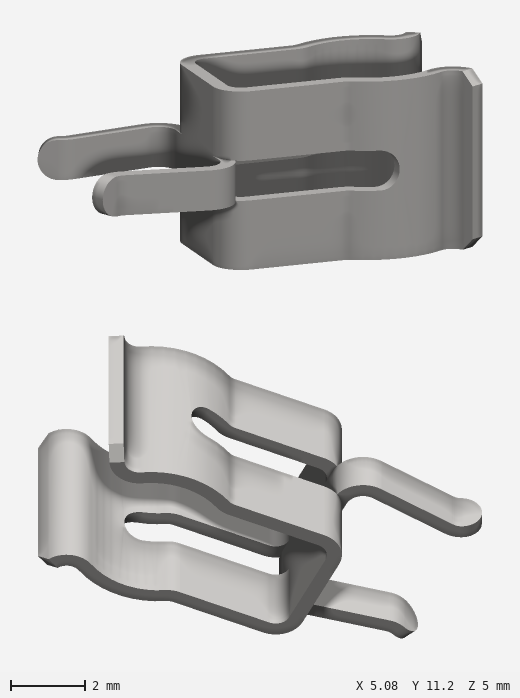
import cadquery as cq
import math


thickness = 0.4
clip_height = 5.0
tab_width = 1.12
bend_inner = 0.4
bend_radius = bend_inner + thickness / 2

arm_outer_half = 1.97
corner_start = arm_outer_half - bend_inner - thickness
arm_straight = 2.67
flare_angle = 29.5
grip_inner = 2.19
grip_radius = grip_inner + thickness / 2
throat_angle = 31.0
lip_angle = 62.0
lip_length = 0.36

slot_end = 4.95

leg_span = 5.08
leg_bend_inner = 0.49
leg_bend_radius = leg_bend_inner + thickness / 2
leg_bend_start = leg_span / 2 - leg_bend_inner - thickness
leg_lean = 9.0
leg_straight = 2.33
foot_angle = 24.0


def side_point(point, heading, offset):
    """Point at a distance to the left of the walking direction (heading in degrees)."""
    angle = math.radians(heading)
    return (point[0] - offset * math.sin(angle), point[1] + offset * math.cos(angle))


def bent_strip(steps, height):
    """Strip of sheet walked from the middle of the back plate toward +X.

    Each step is (length, 0) for a flat or (radius, turn) for a bend, turning left when
    positive. Returns the strip and the end point and heading of its mid line.
    """
    half = thickness / 2
    point = (0.0, half)
    heading = 0.0
    strip = None
    for size, turn in steps:
        if turn == 0:
            stations = [(side_point(point, heading - 90, size), heading)]
        else:
            reach = math.copysign(size, turn)
            centre = side_point(point, heading, reach)
            stations = [
                (side_point(centre, heading + part, -reach), heading + part)
                for part in (turn / 2, turn)
            ]
        left = [side_point(*station, half) for station in stations]
        right = [side_point(*station, -half) for station in stations]
        outline = cq.Workplane("XY", origin=(0, 0, -height / 2))
        outline = outline.moveTo(*side_point(point, heading, half))
        right_start = side_point(point, heading, -half)
        if turn == 0:
            outline = outline.lineTo(*left[0]).lineTo(*right[0]).lineTo(*right_start)
        else:
            outline = outline.threePointArc(*left).lineTo(*right[1])
            outline = outline.threePointArc(right[0], right_start)
        piece = outline.close().extrude(height)
        strip = piece if strip is None else strip.union(piece)
        point, heading = stations[-1]
    return strip, point, heading


def end_plane(point, heading):
    """Mid plane of the sheet at a strip end: local x runs on along the strip, local y is Z."""
    angle = math.radians(heading)
    along = (math.cos(angle), math.sin(angle), 0)
    across = (math.sin(angle), -math.cos(angle), 0)
    return cq.Workplane(cq.Plane(origin=(*point, 0), xDir=along, normal=across))


def clip_arm():
    """Half of the back plate, one gripping arm and its chamfered lip."""
    arm, point, heading = bent_strip(
        [
            (corner_start, 0),
            (bend_radius, 90),
            (arm_straight, 0),
            (bend_radius, -flare_angle),
            (grip_radius, flare_angle + throat_angle),
            (bend_radius, -throat_angle - lip_angle),
        ],
        clip_height,
    )
    root = clip_height / 2
    tip = root - lip_length
    lip = (
        end_plane(point, heading)
        .polyline([(0, -root), (lip_length, -tip), (lip_length, tip), (0, root)])
        .close()
        .extrude(thickness / 2, both=True)
    )
    return arm.union(lip)


def arm_slot():
    """Round-ended slot from the corner bend into the gripping curve."""
    half = tab_width / 2
    return (
        cq.Workplane("YZ", origin=(corner_start, 0, 0))
        .moveTo(0, -half)
        .lineTo(slot_end - half, -half)
        .threePointArc((slot_end, 0), (slot_end - half, half))
        .lineTo(0, half)
        .close()
        .extrude(arm_outer_half)
    )


def solder_leg():
    """Leg carried on from the back plate, bent back and ending in a half-round foot."""
    leg, point, heading = bent_strip(
        [
            (leg_bend_start, 0),
            (leg_bend_radius, -90 - leg_lean),
            (leg_straight, 0),
            (bend_radius, leg_lean + foot_angle),
        ],
        tab_width,
    )
    half = tab_width / 2
    foot = (
        end_plane(point, heading)
        .moveTo(0, -half)
        .threePointArc((half, 0), (0, half))
        .close()
        .extrude(thickness / 2, both=True)
    )
    return leg.union(foot)


half_clip = clip_arm().cut(arm_slot()).union(solder_leg())
result = half_clip.union(half_clip.mirror("YZ"))